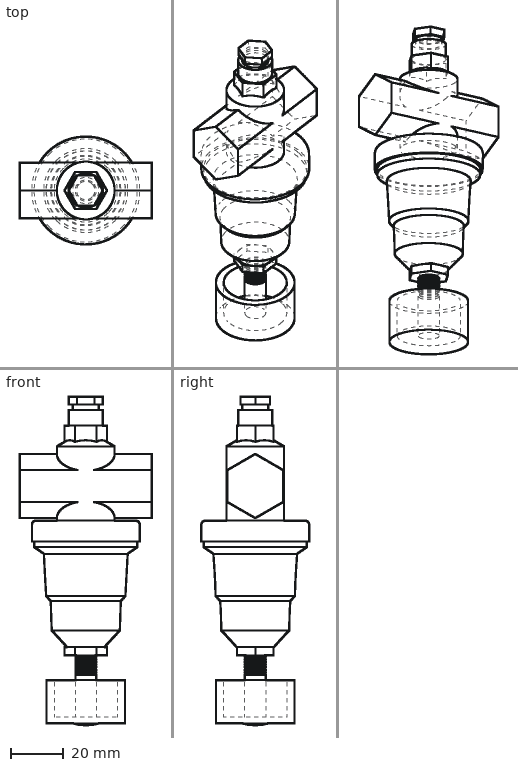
import cadquery as cq
import math


dome_height = 0.7
dome_radius = 5.0
cup_radius = 15.0
cup_inner_radius = 12.0
cup_height = 16.4
cup_cavity_depth = 14.0

stud_radius = 4.0
stud_exposed_length = 9.3
groove_pitch = 1.0
groove_depth = 0.5
groove_count = 8

hex_width = 14.0
lock_nut_height = 3.1
cap_hex_width = 11.2
cap_hex_height = 3.0

housing_end_radius = 7.1
housing_end_height = 6.3
lower_barrel_bottom_radius = 13.0
lower_barrel_top_radius = 13.3
lower_barrel_height = 11.1
barrel_shoulder_height = 2.0
upper_barrel_bottom_radius = 15.1
upper_barrel_top_radius = 15.9
upper_barrel_height = 15.9
flange_cone_height = 2.5
flange_step_radius = 19.5
flange_step_height = 2.1
flange_diameter = 41.0
flange_height = 8.0
flange_fillet = 1.6

body_radius = 11.0
body_height = 28.1
shoulder_angle = 30.0
port_bar_length = 50.0
port_bar_width = 21.0
port_axis_above_flange = 13.1

top_height = 124.5
collar_radius = 6.5
collar_height = 6.0
neck_radius = 5.0
neck_height = 2.0

flange_radius = flange_diameter / 2

cup_bottom = dome_height
cup_top = cup_bottom + cup_height
cup_floor = cup_top - cup_cavity_depth
lock_nut_bottom = cup_top + stud_exposed_length
housing_bottom = lock_nut_bottom + lock_nut_height
lower_barrel_bottom = housing_bottom + housing_end_height
lower_barrel_top = lower_barrel_bottom + lower_barrel_height
upper_barrel_bottom = lower_barrel_top + barrel_shoulder_height
upper_barrel_top = upper_barrel_bottom + upper_barrel_height
flange_step_bottom = upper_barrel_top + flange_cone_height
flange_bottom = flange_step_bottom + flange_step_height
flange_top = flange_bottom + flange_height
body_top = flange_top + body_height
cap_hex_bottom = top_height - cap_hex_height
neck_bottom = cap_hex_bottom - neck_height
collar_bottom = neck_bottom - collar_height


def cylinder(radius, bottom, top):
    return cq.Workplane("XY").workplane(offset=bottom).circle(radius).extrude(top - bottom)


def across_corners(width_across_flats):
    """Width over the corners of a regular hexagon."""
    return 2 * width_across_flats / math.sqrt(3)


def hexagon(width, bottom, top):
    """Hexagonal prism on the Z axis with two corners along X."""
    outline = cq.Workplane("XY").workplane(offset=bottom).polygon(6, across_corners(width))
    return outline.extrude(top - bottom)


def revolved(profile):
    """Turn a closed profile drawn in (radius, Z) around the Z axis."""
    return profile.close().revolve(360, (0, 0, 0), (0, 1, 0))


def handle_cup():
    cup = cylinder(cup_radius, cup_bottom, cup_top)
    cavity = cylinder(cup_inner_radius, cup_floor, cup_top)
    sphere_radius = (dome_radius**2 + dome_height**2) / (2 * dome_height)
    half_radius = dome_radius / 2
    half_level = sphere_radius - math.sqrt(sphere_radius**2 - half_radius**2)
    dome = revolved(
        cq.Workplane("XZ")
        .moveTo(0, 0)
        .threePointArc((half_radius, half_level), (dome_radius, cup_bottom))
        .lineTo(0, cup_bottom)
    )
    return cup.cut(cavity).union(dome)


def grooved_stud():
    """Stud with V-shaped ring grooves below the lock nut, one pitch apart."""
    root_radius = stud_radius - groove_depth
    grooves_bottom = lock_nut_bottom - (groove_count - 0.5) * groove_pitch
    profile = cq.Workplane("XZ").moveTo(0, cup_bottom).lineTo(stud_radius, cup_bottom)
    for groove in range(groove_count):
        crest = grooves_bottom + groove * groove_pitch
        profile = profile.lineTo(stud_radius, crest)
        profile = profile.lineTo(root_radius, crest + groove_pitch / 2)
    return revolved(profile.lineTo(root_radius, housing_bottom).lineTo(0, housing_bottom))


def spring_housing():
    housing = revolved(
        cq.Workplane("XZ")
        .moveTo(0, housing_bottom)
        .lineTo(housing_end_radius, housing_bottom)
        .lineTo(lower_barrel_bottom_radius, lower_barrel_bottom)
        .lineTo(lower_barrel_top_radius, lower_barrel_top)
        .lineTo(upper_barrel_bottom_radius, upper_barrel_bottom)
        .lineTo(upper_barrel_top_radius, upper_barrel_top)
        .lineTo(flange_step_radius, flange_step_bottom)
        .lineTo(flange_step_radius, flange_bottom)
        .lineTo(flange_radius, flange_bottom)
        .lineTo(flange_radius, flange_top)
        .lineTo(0, flange_top)
    )
    return housing.faces(">Z").edges().fillet(flange_fillet)


def valve_body():
    """Round body whose conical shoulder rises to the flats of the top hexagon."""
    hex_inner_radius = hex_width / 2
    shoulder_height = (body_radius - hex_inner_radius) * math.tan(math.radians(shoulder_angle))
    return revolved(
        cq.Workplane("XZ")
        .moveTo(0, flange_top)
        .lineTo(body_radius, flange_top)
        .lineTo(body_radius, body_top)
        .lineTo(hex_inner_radius, body_top + shoulder_height)
        .lineTo(0, body_top + shoulder_height)
    )


def port_bar():
    """Hexagonal bar along X with corners at top and bottom."""
    return (
        cq.Workplane("YZ")
        .polygon(6, across_corners(port_bar_width))
        .extrude(port_bar_length / 2, both=True)
        .rotate((0, 0, 0), (1, 0, 0), 90)
        .translate((0, 0, flange_top + port_axis_above_flange))
    )


def top_fitting():
    return (
        hexagon(hex_width, body_top, collar_bottom)
        .union(cylinder(collar_radius, collar_bottom, neck_bottom))
        .union(cylinder(neck_radius, neck_bottom, cap_hex_bottom))
        .union(hexagon(cap_hex_width, cap_hex_bottom, top_height))
    )


result = (
    handle_cup()
    .union(grooved_stud())
    .union(hexagon(hex_width, lock_nut_bottom, housing_bottom))
    .union(spring_housing())
    .union(valve_body())
    .union(port_bar())
    .union(top_fitting())
)